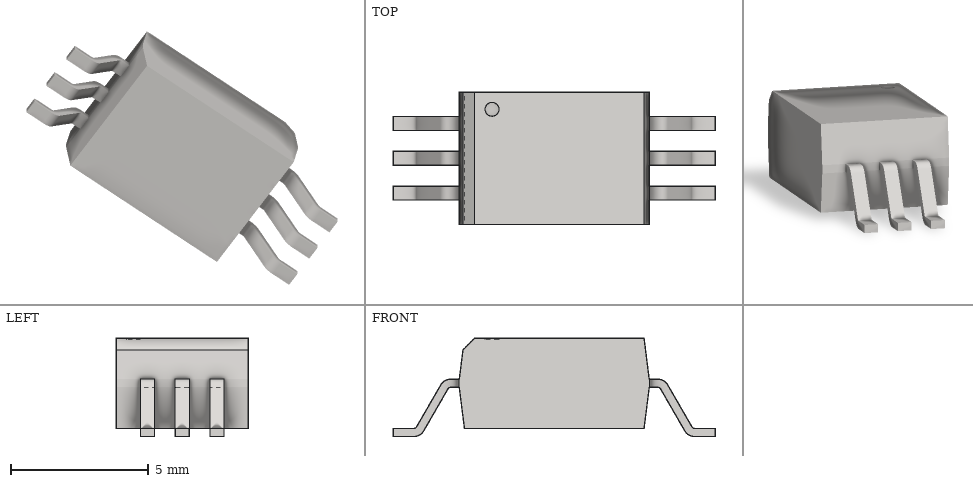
import cadquery as cq
import math

span_x = 11.75
height = 3.6
housing_depth = 4.83

lead_thickness = 0.3
lead_width = 0.52
lead_pitch = 1.27
leads_per_side = 3
bend_angle = math.radians(60)
upper_bend_x = 4.02
inner_bend_radius = 0.1
outer_bend_radius = inner_bend_radius + lead_thickness

housing_half_length = 3.47
housing_end_half_length = 3.28
housing_bottom = 0.29
band_centre = (housing_bottom + height) / 2
band_bottom = band_centre - lead_thickness / 2
band_top = band_centre + lead_thickness / 2

bevel_bottom = 3.16
bevel_top_x = 2.9
side_taper = (housing_half_length - housing_end_half_length) / (height - band_top)
bevel_bottom_x = housing_half_length - side_taper * (bevel_bottom - band_top)

mark_diameter = 0.5
mark_depth = 0.05
mark_x = -2.27
mark_y = 1.79


def make_housing():
    """Tapered block with a bevelled edge and a shallow round pin-one recess."""
    outline = [
        (-housing_end_half_length, housing_bottom),
        (housing_end_half_length, housing_bottom),
        (housing_half_length, band_bottom),
        (housing_half_length, band_top),
        (housing_end_half_length, height),
        (-bevel_top_x, height),
        (-bevel_bottom_x, bevel_bottom),
        (-housing_half_length, band_top),
        (-housing_half_length, band_bottom),
    ]
    block = cq.Workplane("XZ").polyline(outline).close().extrude(housing_depth / 2, both=True)
    mark = (
        cq.Workplane("XY", origin=(mark_x, mark_y, height - mark_depth))
        .circle(mark_diameter / 2)
        .extrude(mark_depth)
    )
    return block.cut(mark)


def make_lead():
    """Gull-wing lead on the +X side, centred on Y = 0 and touching the housing band."""
    mitre = lead_thickness * math.tan(bend_angle / 2)
    lower_surface_bend_x = upper_bend_x - mitre
    foot_bend_x = upper_bend_x + (band_top - lead_thickness) / math.tan(bend_angle)
    outline = [
        (housing_half_length, band_bottom),
        (lower_surface_bend_x, band_bottom),
        (foot_bend_x - mitre, 0),
        (span_x / 2, 0),
        (span_x / 2, lead_thickness),
        (foot_bend_x, lead_thickness),
        (upper_bend_x, band_top),
        (housing_half_length, band_top),
    ]
    lead = cq.Workplane("XZ").polyline(outline).close().extrude(lead_width / 2, both=True)

    def bend_edge(x, z):
        return cq.selectors.NearestToPointSelector((x, 0, z))

    lead = lead.edges(bend_edge(lower_surface_bend_x, band_bottom)).fillet(inner_bend_radius)
    lead = lead.edges(bend_edge(foot_bend_x, lead_thickness)).fillet(inner_bend_radius)
    lead = lead.edges(bend_edge(foot_bend_x - mitre, 0)).fillet(outer_bend_radius)
    return lead.edges(bend_edge(upper_bend_x, band_top)).fillet(outer_bend_radius)


def make_leads():
    """Equal rows of separate leads on the +X and -X sides."""
    right_lead = make_lead()
    left_lead = right_lead.mirror("YZ")
    leads = []
    for row in range(leads_per_side):
        y = (row - (leads_per_side - 1) / 2) * lead_pitch
        for lead in (right_lead, left_lead):
            leads.append(lead.translate((0, y, 0)).val())
    return leads


housing = make_housing()
leads = make_leads()
result = cq.Compound.makeCompound([housing.val(), *leads])